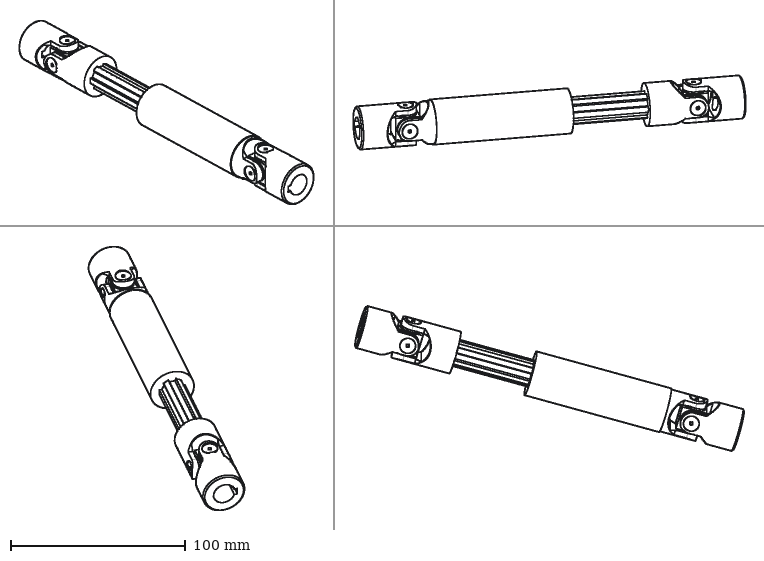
import cadquery as cq

TOTAL_LENGTH = 225.0
JOINT_OFFSET = 28.1
LEFT_JOINT_X = JOINT_OFFSET
RIGHT_JOINT_X = TOTAL_LENGTH - JOINT_OFFSET

YOKE_DIAMETER = 25.0
END_CHAMFER = 1.0
EAR_DIAMETER = 12.5
EAR_GAP = 15.8
SLOT_END_DIAMETER = 25.9
TAPER_START = 7.2

BORE_DIAMETER = 12.5
KEYWAY_WIDTH = 3.8
KEYWAY_DEPTH = 7.9

CROSS_LENGTH = 14.5
CROSS_WIDTH = 13.5
COLLAR_DIAMETER = EAR_DIAMETER
PIN_DIAMETER = 9.0
PIN_REACH = 11.7
CENTRE_HOLE_DIAMETER = 1.8
CENTRE_HOLE_DEPTH = 1.8

SHAFT_YOKE_LENGTH = JOINT_OFFSET
SPLINE_DIAMETER = 15.8
SPLINE_ROOT_DIAMETER = 12.8
TOOTH_WIDTH = 3.4
TOOTH_COUNT = 6
SHAFT_END_X = 157.5

SLEEVE_DIAMETER = 26.0
SLEEVE_START_X = 101.2
SLEEVE_END_X = 181.4


def x_cylinder(diameter, start, end):
    """Solid cylinder on the X axis between two X positions."""
    return cq.Workplane("YZ", origin=(start, 0, 0)).circle(diameter / 2).extrude(end - start)


def z_cylinder(diameter, bottom, top):
    """Solid cylinder on the Z axis between two heights."""
    return cq.Workplane("XY", origin=(0, 0, bottom)).circle(diameter / 2).extrude(top - bottom)


def turn_about_x(shape, angle):
    """Copy of a shape turned about the X axis."""
    return shape.rotate((0, 0, 0), (1, 0, 0), angle)


def fork_outline():
    """Prism along Z: rounded ear around the joint, widening at 45 degrees to the full body."""
    half_width = EAR_DIAMETER / 2
    shoulder = YOKE_DIAMETER
    shoulder_x = -(TAPER_START + shoulder - half_width)
    return (
        cq.Workplane("XY", origin=(0, 0, -YOKE_DIAMETER))
        .moveTo(0, half_width)
        .lineTo(-TAPER_START, half_width)
        .lineTo(shoulder_x, shoulder)
        .lineTo(-TOTAL_LENGTH, shoulder)
        .lineTo(-TOTAL_LENGTH, -shoulder)
        .lineTo(shoulder_x, -shoulder)
        .lineTo(-TAPER_START, -half_width)
        .lineTo(0, -half_width)
        .threePointArc((half_width, 0), (0, half_width))
        .close()
        .extrude(2 * YOKE_DIAMETER)
    )


def ear_slot():
    """Space between the ears, with a rounded bottom centred on the joint."""
    swing = (
        cq.Workplane("XZ", origin=(0, YOKE_DIAMETER, 0))
        .circle(SLOT_END_DIAMETER / 2)
        .extrude(2 * YOKE_DIAMETER)
    )
    gap = cq.Workplane("XY").box(2 * SLOT_END_DIAMETER, 2 * YOKE_DIAMETER, EAR_GAP)
    return swing.intersect(gap)


def cut_fork(body):
    """Form a fork on a body lying along -X from a joint at the origin, with its ears at +Z and -Z."""
    pin_hole = z_cylinder(PIN_DIAMETER, -YOKE_DIAMETER, YOKE_DIAMETER)
    return body.intersect(fork_outline()).cut(ear_slot()).cut(pin_hole)


def make_end_yoke():
    """Outer yoke with a keyed bore, its joint at the origin and its free end at -X."""
    body = x_cylinder(YOKE_DIAMETER, -JOINT_OFFSET, EAR_DIAMETER / 2)
    body = body.faces("<X").chamfer(END_CHAMFER)
    bore = x_cylinder(BORE_DIAMETER, -JOINT_OFFSET, 0)
    keyway = cq.Workplane("XY").box(JOINT_OFFSET, KEYWAY_DEPTH, KEYWAY_WIDTH)
    keyway = keyway.translate((-JOINT_OFFSET / 2, -KEYWAY_DEPTH / 2, 0))
    return cut_fork(body).cut(bore).cut(keyway)


def make_cross():
    """Block with two collared pins through it along Y and Z, centred on the origin."""
    block = cq.Workplane("XY").box(CROSS_LENGTH, CROSS_WIDTH, CROSS_WIDTH)
    collar = z_cylinder(COLLAR_DIAMETER, -EAR_GAP / 2, EAR_GAP / 2)
    pin = z_cylinder(PIN_DIAMETER, -PIN_REACH, PIN_REACH)
    centre_hole = z_cylinder(CENTRE_HOLE_DIAMETER, PIN_REACH - CENTRE_HOLE_DEPTH, PIN_REACH)
    pin = pin.cut(centre_hole).cut(centre_hole.mirror("XY"))
    z_pin = pin.union(collar)
    y_pin = turn_about_x(z_pin, 90)
    return block.union(z_pin).union(y_pin)


def spline_bar(start, end):
    """Splined bar on the X axis, with one tooth pointing along -Y."""
    length = end - start
    core = x_cylinder(SPLINE_ROOT_DIAMETER, start, end)
    tooth_pair = cq.Workplane("XY").box(length, SPLINE_DIAMETER, TOOTH_WIDTH)
    tooth_pair = tooth_pair.translate((start + length / 2, 0, 0))
    tooth_tips = x_cylinder(SPLINE_DIAMETER, start, end)
    for index in range(TOOTH_COUNT // 2):
        teeth = turn_about_x(tooth_pair, index * 360 / TOOTH_COUNT)
        core = core.union(teeth.intersect(tooth_tips))
    return core


def make_inner_yoke(length):
    """Plain yoke with its joint at the origin and its ears at +Y and -Y, reaching back to -length."""
    body = x_cylinder(YOKE_DIAMETER, -length, EAR_DIAMETER / 2)
    return turn_about_x(cut_fork(body), 90)


def make_shaft():
    """Left inner yoke carrying the splined bar."""
    yoke = make_inner_yoke(SHAFT_YOKE_LENGTH).mirror("YZ").translate((LEFT_JOINT_X, 0, 0))
    return yoke.union(spline_bar(LEFT_JOINT_X + SHAFT_YOKE_LENGTH, SHAFT_END_X))


def make_sleeve():
    """Sleeve that ends in the right inner yoke, with a blind bore matching the splined bar."""
    yoke = make_inner_yoke(RIGHT_JOINT_X - SLEEVE_END_X).translate((RIGHT_JOINT_X, 0, 0))
    tube = x_cylinder(SLEEVE_DIAMETER, SLEEVE_START_X, SLEEVE_END_X)
    return tube.union(yoke).cut(spline_bar(SLEEVE_START_X, SHAFT_END_X))


end_yokes = []
crosses = []
for joint_x in (LEFT_JOINT_X, RIGHT_JOINT_X):
    end_yoke = make_end_yoke()
    if joint_x == RIGHT_JOINT_X:
        end_yoke = end_yoke.mirror("YZ")
    end_yokes.append(end_yoke.translate((joint_x, 0, 0)).val())
    crosses.append(make_cross().translate((joint_x, 0, 0)).val())

shaft = make_shaft()
sleeve = make_sleeve()

result = cq.Compound.makeCompound([*end_yokes, *crosses, shaft.val(), sleeve.val()])